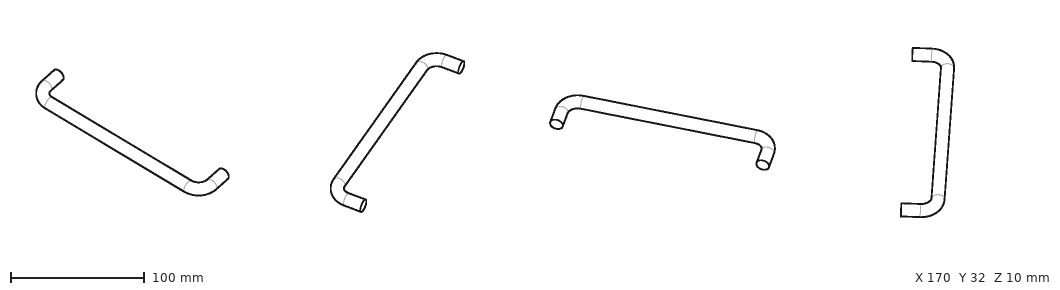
import cadquery as cq

length = 170.0
depth = 32.0
rod_diameter = 10.0
bend_radius = 12.5

rod_radius = rod_diameter / 2
half_span = length / 2 - rod_radius
half_grip = half_span - bend_radius
leg_end = depth - rod_radius

centreline = (
    cq.Workplane("XY")
    .moveTo(-half_span, leg_end)
    .lineTo(-half_span, bend_radius)
    .radiusArc((-half_grip, 0), -bend_radius)
    .lineTo(half_grip, 0)
    .radiusArc((half_span, bend_radius), -bend_radius)
    .lineTo(half_span, leg_end)
)

result = (
    cq.Workplane("XZ", origin=(-half_span, leg_end, 0))
    .circle(rod_radius)
    .sweep(centreline)
)